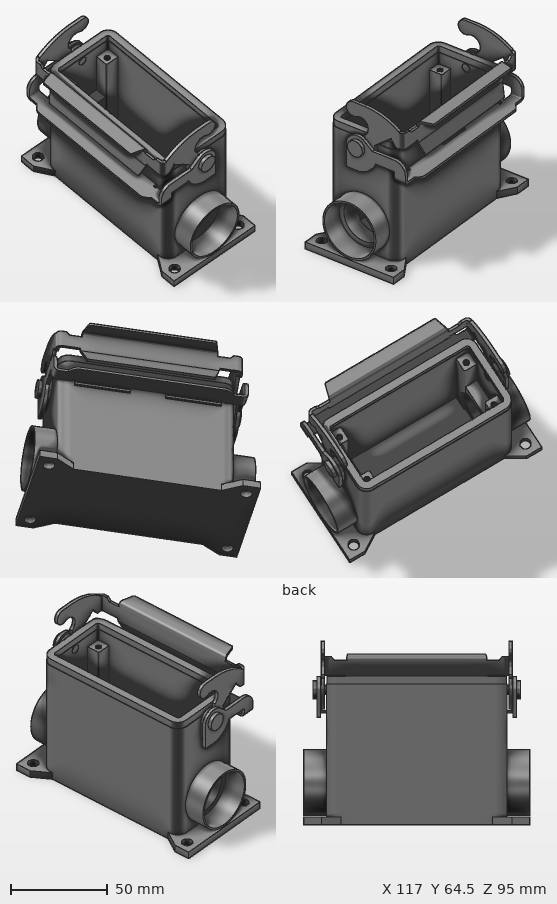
import cadquery as cq
import math

overall_length = 117.0
overall_depth = 64.5

plate_depth = 56.9
plate_thickness = 4.2
ear_end_half_width = 49.3
ear_root_half_width = 39.2
mount_hole_x = 52.3
mount_hole_y = 22.3
mount_hole_diameter = 5.8

housing_length = 93.4
housing_depth = 44.5
housing_height = 77.0
housing_corner_radius = 6.1
rim_inset = 0.2
rim_base_z = 72.9
wall = 4.1
cavity_length = housing_length - 2 * wall + 2 * rim_inset
cavity_depth = 36.0
cavity_corner_radius = 1.8

post_inner_x = 35.2
post_inner_y = 10.0
post_top_z = 65.6
post_corner_radius = 0.9
screw_x = 38.6
screw_y = 13.6
screw_hole_diameter = 2.3
screw_recess_diameter = 3.2
screw_recess_depth = 0.6
screw_hole_depth = 11.7

entry_z = 22.0
entry_diameter = 34.2
entry_bore_diameter = 32.0
entry_hole_diameter = 26.0
entry_bore_depth = 12.8
thick_wall_top_z = 39.8
open_wall_inner_x = 35.9

pivot_z = 69.8
pin_diameter = 4.9
pin_head_diameter = 9.6
pin_head_x = 53.7

cheek_thickness = 1.9
sheet_thickness = 1.4
bracket_half_width = 51.6
lever_half_width = 49.5

bracket_eye_radius = 7.0
bracket_foot_z = 55.5
bracket_foot_radius = 0.7
arm_top_z = 70.9
arm_bottom_z = 63.9
arm_root_y = -9.6
arm_inner_y = -24.0
arm_outer_y = -30.9
arm_heel_y = -11.8
foot_arc_start = (-10.6, 61.5)
foot_arc_middle = (-6.5, 57.6)
foot_arc_end_y = -1.2
arm_bend_radius = 0.9
ledge_bottom_z = 57.8
ledge_bend_radius = 3.0
ledge_front_y = -34.3
ledge_shoulder_x = 43.9
ledge_arc_start = (41.7, -33.1)
ledge_arc_middle = (40.2, -33.9)
ledge_front_x = 38.6
lip_end_x = 38.8
lip_start_x = 9.5
lip_bottom_z = 56.5
lip_front_y = -23.8
lip_back_y = -22.5
lip_bend_radius = 1.2
relief_depth = 0.8
relief_corner_radius = 0.7
relief_width = 1.4

lever_tip_y = 4.2
lever_tip_radius = 4.5
lever_top_z = 95.0
lever_back_start_y = -3.7
lever_back_middle = (-15.9, 92.7)
lever_back_end = (-25.4, 87.6)
notch_foot_y = -23.3
notch_peak = (-20.1, 81.5)
hook_y = -0.1
hook_z = 82.0
hook_radius = 5.4
lever_neck_y = -3.3
lever_lobe_radius = 10.0
lever_lobe_start_angle = 161
lever_eye_radius = 5.8
bar_front_y = -28.2
bar_bottom_z = 77.3
bar_top_z = 87.2
bar_bend_radius = 2.9
bar_dip_z = 85.2
bar_dip_outer_x = 44.3
bar_dip_bottom_x = 42.5
handle_corner_radius = 1.2
grip_root_x = 36.3
grip_tip_x = 33.6
grip_front_y = plate_depth / 2 - overall_depth
grip_top_z = 88.5
grip_bend_radius = 1.4
tongue_root_x = 37.5
tongue_tip_x = 33.9
tongue_bend_z = 75.6
tongue_tip_y = -31.2
tongue_tip_z = 68.1


def centred_box(length, depth, bottom, top):
    """Box centred on the Z axis between two heights."""
    return (cq.Workplane("XY").workplane(offset=bottom).rect(length, depth)
            .extrude(top - bottom))


def span_box(x, y, z):
    """Box between pairs of X, Y and Z limits."""
    return (cq.Workplane("XY").box(x[1] - x[0], y[1] - y[0], z[1] - z[0], centered=False)
            .translate((x[0], y[0], z[0])))


def x_cylinder(diameter, y, z, x_start, x_end):
    """Cylinder along X."""
    return (cq.Workplane("YZ").workplane(offset=x_start).center(y, z)
            .circle(diameter / 2).extrude(x_end - x_start))


def on_both_sides(solid):
    """The solid and its mirror image across the YZ plane."""
    return solid.union(solid.mirror("YZ"))


def polar(y, z, radius, degrees):
    """Point on a circle in the YZ plane."""
    angle = math.radians(degrees)
    return (y + radius * math.cos(angle), z + radius * math.sin(angle))


def mounting_ears():
    end_x = overall_length / 2
    back_y = plate_depth / 2
    wall_y = housing_depth / 2
    ear = (cq.Workplane("XY")
           .polyline([(-end_x, -back_y), (-ear_end_half_width, -back_y),
                      (-ear_root_half_width, -wall_y), (-ear_root_half_width, wall_y),
                      (-ear_end_half_width, back_y), (-end_x, back_y)])
           .close().extrude(plate_thickness))
    holes = (cq.Workplane("XY")
             .pushPoints([(-mount_hole_x, -mount_hole_y), (-mount_hole_x, mount_hole_y)])
             .circle(mount_hole_diameter / 2).extrude(plate_thickness))
    return on_both_sides(ear.cut(holes))


def housing_block():
    block = (centred_box(housing_length, housing_depth, 0, rim_base_z)
             .edges("|Z").fillet(housing_corner_radius))
    rim = (centred_box(housing_length - 2 * rim_inset, housing_depth - 2 * rim_inset,
                       rim_base_z, housing_height)
           .edges("|Z").fillet(housing_corner_radius - rim_inset))
    return block.union(rim)


def cavity():
    """Cavity whose mouth narrows by the rim inset at the foot of the rim."""
    chamber = (centred_box(cavity_length, cavity_depth, plate_thickness, rim_base_z)
               .edges("|Z").fillet(cavity_corner_radius))
    mouth = (centred_box(cavity_length - 2 * rim_inset, cavity_depth - 2 * rim_inset,
                         rim_base_z, housing_height)
             .edges("|Z").fillet(cavity_corner_radius - rim_inset))
    return chamber.union(mouth)


def thickened_end_walls():
    """Thicker end walls around the cable entries."""
    side_y = (-cavity_depth / 2, cavity_depth / 2)
    heights = (plate_thickness, thick_wall_top_z)
    outer_x = cavity_length / 2
    open_wall = span_box((-outer_x, -open_wall_inner_x), side_y, heights)
    closed_wall = span_box((post_inner_x, outer_x), side_y, heights)
    return open_wall.union(closed_wall)


def screw_posts():
    post = (span_box((post_inner_x, cavity_length / 2), (post_inner_y, cavity_depth / 2),
                     (plate_thickness, post_top_z))
            .edges("|Z and <X and <Y").fillet(post_corner_radius)
            .edges("|Z and >X and >Y").fillet(cavity_corner_radius))
    hole = (cq.Workplane("XY").workplane(offset=post_top_z).center(screw_x, screw_y)
            .circle(screw_hole_diameter / 2).extrude(-screw_hole_depth))
    recess = (cq.Workplane("XY").workplane(offset=post_top_z).center(screw_x, screw_y)
              .circle(screw_recess_diameter / 2).extrude(-screw_recess_depth))
    posts = on_both_sides(post.cut(hole).cut(recess))
    return posts.union(posts.mirror("XZ"))


def housing():
    end_x = overall_length / 2
    tube = x_cylinder(entry_diameter, 0, entry_z, -end_x, -cavity_length / 2)
    bore = x_cylinder(entry_bore_diameter, 0, entry_z, -end_x, entry_bore_depth - end_x)
    wire_hole = x_cylinder(entry_hole_diameter, 0, entry_z, -end_x, -post_inner_x)
    shell = housing_block().cut(cavity()).union(thickened_end_walls()).union(screw_posts())
    body = shell.union(mounting_ears()).union(on_both_sides(tube))
    return body.cut(on_both_sides(bore)).cut(wire_hole)


def pivot_pins():
    shank = x_cylinder(pin_diameter, 0, pivot_z, -bracket_half_width, wall - housing_length / 2)
    head = x_cylinder(pin_head_diameter, 0, pivot_z, -pin_head_x, -bracket_half_width)
    return on_both_sides(shank.union(head))


def bracket_cheek():
    root_distance = math.hypot(arm_root_y, arm_top_z - pivot_z)
    root_angle = math.degrees(math.atan2(arm_top_z - pivot_z, arm_root_y))
    tangent_angle = root_angle - math.degrees(math.acos(bracket_eye_radius / root_distance))
    arm_radius = arm_top_z - arm_bottom_z
    ledge_bend_z = ledge_bottom_z + ledge_bend_radius
    cheek = (cq.Workplane("YZ").workplane(offset=-bracket_half_width)
             .moveTo(bracket_eye_radius, pivot_z)
             .threePointArc(polar(0, pivot_z, bracket_eye_radius, tangent_angle / 2),
                            polar(0, pivot_z, bracket_eye_radius, tangent_angle))
             .lineTo(arm_root_y, arm_top_z)
             .lineTo(arm_outer_y + arm_radius, arm_top_z)
             .threePointArc(polar(arm_outer_y + arm_radius, arm_bottom_z, arm_radius, 135),
                            (arm_outer_y, arm_bottom_z))
             .lineTo(arm_outer_y, ledge_bend_z)
             .lineTo(arm_inner_y, ledge_bend_z)
             .lineTo(arm_inner_y, arm_bottom_z - arm_bend_radius)
             .threePointArc(polar(arm_inner_y + arm_bend_radius, arm_bottom_z - arm_bend_radius,
                                  arm_bend_radius, 135),
                            (arm_inner_y + arm_bend_radius, arm_bottom_z))
             .lineTo(arm_heel_y, arm_bottom_z)
             .lineTo(*foot_arc_start)
             .threePointArc(foot_arc_middle, (foot_arc_end_y, bracket_foot_z))
             .lineTo(bracket_eye_radius, bracket_foot_z)
             .close().extrude(cheek_thickness)
             .edges("|X and >Y and <Z").fillet(bracket_foot_radius))
    return on_both_sides(cheek)


def bracket_ledge():
    """Ledge with bent-up ends, widened towards the front."""
    ledge_top_z = ledge_bottom_z + sheet_thickness
    band_top_z = arm_bottom_z - arm_bend_radius
    inner_x = bracket_half_width - cheek_thickness
    arm_y = (arm_outer_y, arm_inner_y)
    outer = (span_box((-bracket_half_width, bracket_half_width), arm_y, (ledge_bottom_z, band_top_z))
             .edges("|Y and <Z").fillet(ledge_bend_radius))
    inner = (span_box((-inner_x, inner_x), arm_y, (ledge_top_z, band_top_z))
             .edges("|Y and <Z").fillet(ledge_bend_radius - cheek_thickness))
    front_half = (cq.Workplane("XY").workplane(offset=ledge_bottom_z)
                  .moveTo(0, arm_outer_y).lineTo(ledge_shoulder_x, arm_outer_y)
                  .lineTo(*ledge_arc_start)
                  .threePointArc(ledge_arc_middle, (ledge_front_x, ledge_front_y))
                  .lineTo(0, ledge_front_y).close().extrude(sheet_thickness))
    return outer.cut(inner).union(on_both_sides(front_half))


def bracket_lips():
    """Lips bent down along the housing, parted by relief notches in the ledge."""
    ledge_top_z = ledge_bottom_z + sheet_thickness
    lip = span_box((-lip_end_x, -lip_start_x), (lip_front_y, lip_back_y), (lip_bottom_z, ledge_top_z))
    lip = lip.union(span_box((-lip_end_x, -lip_start_x), (arm_inner_y, lip_back_y),
                             (ledge_bottom_z, ledge_top_z)))
    return on_both_sides(lip.edges("|X and >Y and >Z").fillet(lip_bend_radius))


def ledge_reliefs():
    notch_y = (arm_inner_y - relief_depth, arm_inner_y)
    heights = (ledge_bottom_z, ledge_bottom_z + sheet_thickness)
    middle = (span_box((-lip_start_x, lip_start_x), notch_y, heights)
              .edges("|Z and <Y").fillet(relief_corner_radius))
    end = span_box((-lip_end_x - relief_width, -lip_end_x), notch_y, heights)
    return middle.union(on_both_sides(end))


def bracket():
    return bracket_cheek().union(bracket_ledge()).cut(ledge_reliefs()).union(bracket_lips())


def lever_side_prism():
    """Lever side outline, extruded over the full width."""
    tip_z = lever_top_z - lever_tip_radius
    between = math.degrees(math.atan2(tip_z - hook_z, lever_tip_y - hook_y))
    lobe_start = polar(0, pivot_z, lever_lobe_radius, lever_lobe_start_angle)
    lobe_middle = polar(0, pivot_z, lever_lobe_radius, (lever_lobe_start_angle + 270) / 2)
    neck_z = hook_z - math.sqrt(hook_radius ** 2 - (lever_neck_y - hook_y) ** 2)
    neck_eye_z = pivot_z + math.sqrt(lever_eye_radius ** 2 - lever_neck_y ** 2)
    return (cq.Workplane("YZ").workplane(offset=-lever_half_width)
            .moveTo(lever_tip_y, lever_top_z)
            .lineTo(lever_back_start_y, lever_top_z)
            .threePointArc(lever_back_middle, lever_back_end)
            .lineTo(lever_back_end[0], bar_top_z)
            .lineTo(bar_front_y, bar_top_z)
            .lineTo(bar_front_y, bar_bottom_z)
            .lineTo(notch_foot_y, bar_bottom_z)
            .lineTo(*notch_peak)
            .lineTo(*lobe_start)
            .threePointArc(lobe_middle, (0, pivot_z - lever_lobe_radius))
            .lineTo(lever_eye_radius, pivot_z - lever_lobe_radius)
            .lineTo(lever_eye_radius, pivot_z)
            .threePointArc(polar(0, pivot_z, lever_eye_radius, 45), (lever_neck_y, neck_eye_z))
            .lineTo(lever_neck_y, neck_z)
            .threePointArc(polar(hook_y, hook_z, hook_radius, 150),
                           polar(hook_y, hook_z, hook_radius, between))
            .threePointArc(polar(lever_tip_y, tip_z, lever_tip_radius, 0),
                           (lever_tip_y, lever_top_z))
            .close().extrude(2 * lever_half_width))


def lever_band():
    """U-shaped strip, seen from above, that holds the two cheeks and the front bar."""
    back_y = lever_tip_y + lever_tip_radius
    inner_x = lever_half_width - cheek_thickness
    heights = (pivot_z - lever_lobe_radius, lever_top_z)
    outer = (span_box((-lever_half_width, lever_half_width), (bar_front_y, back_y), heights)
             .edges("|Z and <Y").fillet(bar_bend_radius))
    inner = (span_box((-inner_x, inner_x), (bar_front_y + sheet_thickness, back_y), heights)
             .edges("|Z and <Y").fillet(bar_bend_radius - cheek_thickness))
    return outer.cut(inner)


def bar_dip():
    """Lowered top edge of the front bar."""
    return (cq.Workplane("XZ").workplane(offset=-bar_front_y)
            .polyline([(-bar_dip_outer_x, bar_top_z), (-bar_dip_bottom_x, bar_dip_z),
                       (bar_dip_bottom_x, bar_dip_z), (bar_dip_outer_x, bar_top_z)])
            .close().extrude(-sheet_thickness))


def trapezoid(plane, root_x, root, tip_x, tip):
    """Symmetric trapezoid between two distances along the plane's second axis."""
    return (cq.Workplane(plane)
            .polyline([(-root_x, root), (-tip_x, tip), (tip_x, tip), (root_x, root)])
            .close())


def grip():
    """Bar top bent forward into a horizontal grip."""
    inner_y = bar_front_y + sheet_thickness
    bend_y = bar_front_y - grip_bend_radius
    bend_z = grip_top_z - sheet_thickness - grip_bend_radius
    outer_radius = grip_bend_radius + sheet_thickness
    strip = (cq.Workplane("YZ").workplane(offset=-grip_root_x)
             .moveTo(inner_y, bar_dip_z - sheet_thickness)
             .lineTo(inner_y, bend_z)
             .threePointArc(polar(bend_y, bend_z, outer_radius, 45), (bend_y, grip_top_z))
             .lineTo(grip_front_y, grip_top_z)
             .lineTo(grip_front_y, grip_top_z - sheet_thickness)
             .lineTo(bend_y, grip_top_z - sheet_thickness)
             .threePointArc(polar(bend_y, bend_z, grip_bend_radius, 45), (bar_front_y, bend_z))
             .lineTo(bar_front_y, bar_dip_z - sheet_thickness)
             .close().extrude(2 * grip_root_x))
    mask = (trapezoid("XY", grip_root_x, inner_y, grip_tip_x, grip_front_y).extrude(lever_top_z)
            .edges("|Z and <Y").fillet(handle_corner_radius))
    return strip.intersect(mask)


def tongue():
    """Bar bottom bent outward into a sloping tongue."""
    inner_y = bar_front_y + sheet_thickness
    root_z = bar_bottom_z + sheet_thickness
    slope = math.atan2(bar_front_y - tongue_tip_y, tongue_bend_z - tongue_tip_z)
    across_y = sheet_thickness * math.cos(slope)
    across_z = sheet_thickness * math.sin(slope)
    strip = (cq.Workplane("YZ").workplane(offset=-tongue_root_x)
             .polyline([(bar_front_y, root_z), (bar_front_y, tongue_bend_z),
                        (tongue_tip_y, tongue_tip_z), (tongue_tip_y + across_y, tongue_tip_z - across_z),
                        (inner_y, tongue_bend_z), (inner_y, root_z)])
             .close().extrude(2 * tongue_root_x))
    mask = (trapezoid("XZ", tongue_root_x, root_z, tongue_tip_x, tongue_tip_z - across_z)
            .extrude(plate_depth)
            .edges("|Y and <Z").fillet(handle_corner_radius))
    return strip.intersect(mask)


def lever():
    return lever_side_prism().intersect(lever_band()).cut(bar_dip()).union(grip()).union(tongue())


result = housing().union(pivot_pins()).union(bracket()).union(lever())